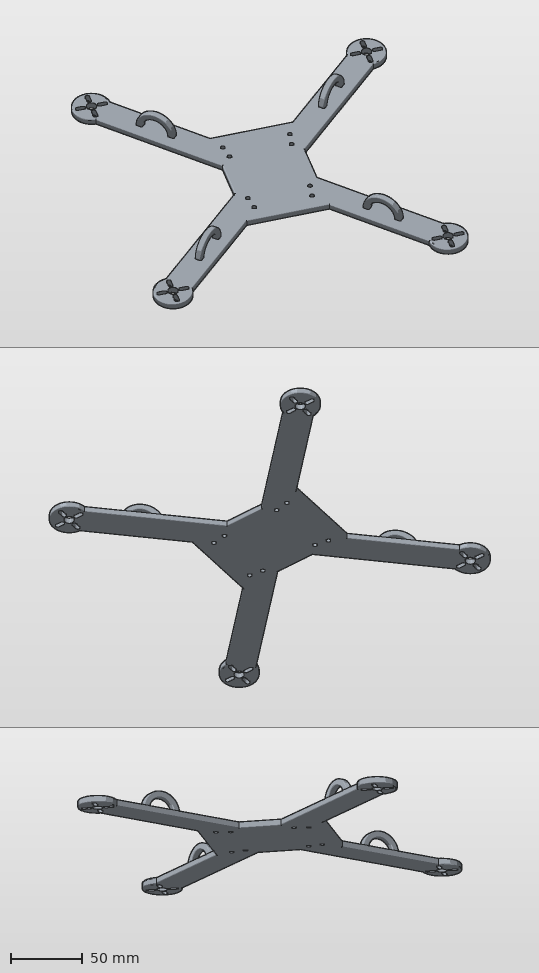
import cadquery as cq
import math

plate_thickness = 5.0
edge_fillet = 0.95
core_width = 60.0
arm_width = 21.2
core_length = core_width + arm_width * math.sqrt(2)

overall_size = 228.0
mount_diameter = 28.0
mount_center = (overall_size - mount_diameter) / 2
shaft_hole_diameter = 7.0
slot_width = 3.2
slot_inner = 4.3
slot_outer = 11.6

screw_hole_diameter = 3.2
board_hole_offset = 22.5
left_hole_x = -32.8
left_hole_y = 24.5
right_hole_x = 32.8
right_hole_y = 21.0

overall_height = 20.0
hoop_outer_radius = overall_height - plate_thickness
hoop_inner_radius = 10.0
hoop_width = 5.0
hoop_fillet = 1.0
hoop_center = 63.5

quadrants = [(1, 1), (-1, 1), (-1, -1), (1, -1)]


def in_quadrants(x, y):
    """Mirror one point into all four quadrants."""
    return [(x * sign_x, y * sign_y) for sign_x, sign_y in quadrants]


def make_arm(sign):
    """Diagonal bar joining two opposite motor mounts."""
    length = 2 * mount_center * math.sqrt(2)
    bar = cq.Workplane("XY").rect(length, arm_width).extrude(plate_thickness)
    return bar.rotate((0, 0, 0), (0, 0, 1), sign * 45)


def make_plate():
    """Core, arms and mounting discs, rounded along the top and bottom rims."""
    plate = cq.Workplane("XY").rect(core_length, core_width).extrude(plate_thickness)
    plate = plate.union(make_arm(1)).union(make_arm(-1))
    discs = (
        cq.Workplane("XY")
        .pushPoints(in_quadrants(mount_center, mount_center))
        .circle(mount_diameter / 2)
        .extrude(plate_thickness)
    )
    return plate.union(discs).clean().faces("<Z or >Z").fillet(edge_fillet)


def cut_motor_mounts(plate):
    """Shaft hole and four radial slots through each mounting disc."""
    centers = in_quadrants(mount_center, mount_center)
    slot_length = slot_outer - slot_inner
    slot_offset = (slot_outer + slot_inner) / 2
    plate = plate.cut(
        cq.Workplane("XY").pushPoints(centers).circle(shaft_hole_diameter / 2).extrude(plate_thickness)
    )
    for x, y in centers:
        slots = (
            cq.Workplane("XY", origin=(x, y, 0))
            .polarArray(slot_offset, 0, 360, 4)
            .slot2D(slot_length, slot_width)
            .extrude(plate_thickness)
        )
        plate = plate.cut(slots)
    return plate


def cut_screw_holes(plate):
    """Square board pattern plus a pair of holes near each end of the core."""
    points = in_quadrants(board_hole_offset, board_hole_offset)
    for side in (1, -1):
        points.append((left_hole_x, side * left_hole_y))
        points.append((right_hole_x, side * right_hole_y))
    holes = cq.Workplane("XY").pushPoints(points).circle(screw_hole_diameter / 2).extrude(plate_thickness)
    return plate.cut(holes)


def make_hoop():
    """Half ring along X with rounded edges, its feet resting on the plate."""
    ring = (
        cq.Workplane("XZ")
        .circle(hoop_outer_radius)
        .circle(hoop_inner_radius)
        .extrude(hoop_width / 2, both=True)
        .edges("%CIRCLE")
        .fillet(hoop_fillet)
    )
    size = 2 * hoop_outer_radius
    upper_half = cq.Workplane("XY").box(size, size, size, centered=(True, True, False))
    return ring.intersect(upper_half).translate((0, 0, plate_thickness))


result = cut_screw_holes(cut_motor_mounts(make_plate()))
for sign_x, sign_y in quadrants:
    hoop = make_hoop().rotate((0, 0, 0), (0, 0, 1), sign_x * sign_y * 45)
    result = result.union(hoop.translate((sign_x * hoop_center, sign_y * hoop_center, 0)))